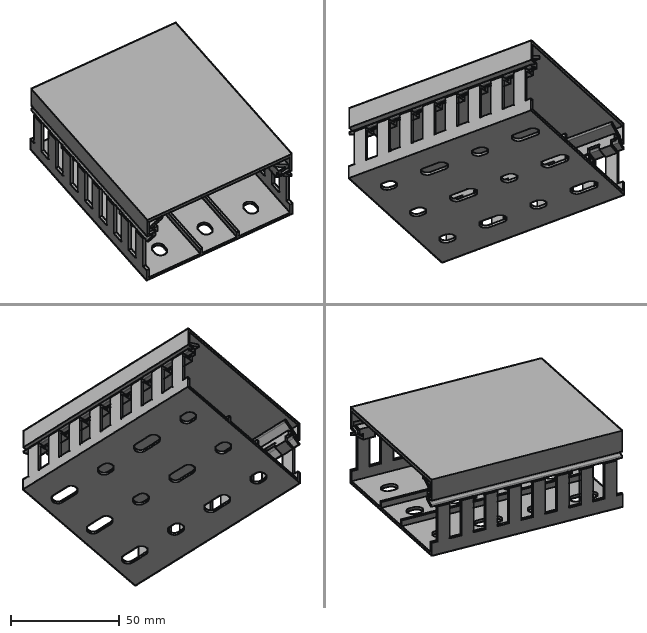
import cadquery as cq
import math

LENGTH = 100.0
WIDTH = 80.0
HEIGHT = 40.0

WALL = 1.5
RIB_WIDTH = 1.2
RIB_TOP = 4.5
RIB_SPACING = 20.0

SLOT_PITCH = 12.5
SLOT_WIDTH = 6.2
SLOT_BOTTOM = 6.8
SLOT_TOP = 28.2

LONG_HOLE_LENGTH = 14.0
SHORT_HOLE_LENGTH = 8.0
HOLE_WIDTH = 6.0
HOLE_PITCH = 25.0
HOLE_COLUMNS = 4
HOLE_ROWS = 3

SHOULDER_TOP = 25.2
LEDGE_RISE = 1.1
NECK_INNER = 33.1
HOOK_BOTTOM = 30.4
HOOK_DROP = 0.6
HOOK_SHELF = 31.1
HOOK_SETBACK = 1.2
ARM_ANGLE = 31.0
ARM_RADIUS = 0.8
ARM_TIP_Y = 31.3
ARM_TIP_Z = 35.8
CROTCH_Z = 31.6

COVER_WIDTH = 79.2
COVER_TOP_THICKNESS = 1.9
SKIRT_BOTTOM = 28.9
SKIRT_INNER_BOTTOM = 30.1
LIP_OUTER_Y = 36.5
LIP_INNER_Y = 35.0
LIP_OUTER_TOP = 28.6
LIP_ARC_Y = 37.3
LIP_ARC_Z = 27.6
LIP_INNER_TOP = 29.4
LIP_UNDERSIDE_ANGLE = 28.0
LIP_INNER_FILLET = 0.9
BEAD_RADIUS = 0.6

HALF_WIDTH = WIDTH / 2
WALL_INNER = HALF_WIDTH - WALL
NECK_OUTER = NECK_INNER + WALL
COVER_HALF = COVER_WIDTH / 2

SHOULDER_SLOPE = LEDGE_RISE / (HALF_WIDTH - NECK_OUTER)
BEAD_Y = COVER_HALF - BEAD_RADIUS
BEAD_Z = (
    SHOULDER_TOP
    + (HALF_WIDTH - BEAD_Y) * SHOULDER_SLOPE
    + BEAD_RADIUS * math.hypot(1, SHOULDER_SLOPE)
)

UNDERSIDE_ANGLE = math.radians(LIP_UNDERSIDE_ANGLE)
UNDERSIDE_START_Y = BEAD_Y - BEAD_RADIUS * math.sin(UNDERSIDE_ANGLE)
UNDERSIDE_START_Z = BEAD_Z - BEAD_RADIUS * math.cos(UNDERSIDE_ANGLE)
LIP_INNER_BOTTOM = UNDERSIDE_START_Z + (UNDERSIDE_START_Y - LIP_INNER_Y) * math.tan(UNDERSIDE_ANGLE)


def extrude_along_length(outline):
    """Extrude a closed YZ outline over the full length, centred on X."""
    return outline.close().extrude(LENGTH / 2, both=True)


def wall_profile():
    """One side wall with its inward neck and sloping spring arm, on the +Y side."""
    angle = math.radians(ARM_ANGLE)
    normal_y = ARM_RADIUS * math.sin(angle)
    normal_z = ARM_RADIUS * math.cos(angle)
    slope = math.tan(angle)
    upper_tip = (ARM_TIP_Y + normal_y, ARM_TIP_Z + normal_z)
    end_tip = (ARM_TIP_Y - ARM_RADIUS * math.cos(angle), ARM_TIP_Z + ARM_RADIUS * math.sin(angle))
    lower_tip = (ARM_TIP_Y - normal_y, ARM_TIP_Z - normal_z)
    arm_root_z = upper_tip[1] - (WALL_INNER - upper_tip[0]) * slope
    crotch_y = lower_tip[0] + (lower_tip[1] - CROTCH_Z) / slope
    return (
        cq.Workplane("YZ")
        .moveTo(HALF_WIDTH, 0)
        .lineTo(HALF_WIDTH, SHOULDER_TOP)
        .lineTo(NECK_OUTER, SHOULDER_TOP + LEDGE_RISE)
        .lineTo(NECK_OUTER, HOOK_BOTTOM - HOOK_DROP)
        .lineTo(WALL_INNER, HOOK_BOTTOM)
        .lineTo(WALL_INNER, arm_root_z)
        .lineTo(*upper_tip)
        .threePointArc(end_tip, lower_tip)
        .lineTo(crotch_y, CROTCH_Z)
        .lineTo(NECK_INNER, HOOK_SHELF)
        .lineTo(NECK_INNER, SHOULDER_TOP)
        .lineTo(WALL_INNER, SHOULDER_TOP - LEDGE_RISE)
        .lineTo(WALL_INNER, 0)
    )


def make_wall_slots():
    """Cutters for the wall slots; the ends of the duct halve the first and last."""
    slot_count = round(LENGTH / SLOT_PITCH) + 1
    return (
        cq.Workplane("XY", origin=(0, 0, SLOT_BOTTOM))
        .rarray(SLOT_PITCH, 1, slot_count, 1)
        .rect(SLOT_WIDTH, WIDTH)
        .extrude(SLOT_TOP - SLOT_BOTTOM)
    )


def make_end_setbacks():
    """Cutters that shorten the hooks above the slots at both ends of the duct."""
    return (
        cq.Workplane("XY", origin=(0, 0, SLOT_TOP))
        .pushPoints([(-LENGTH / 2, 0), (LENGTH / 2, 0)])
        .rect(2 * HOOK_SETBACK, WIDTH)
        .extrude(HEIGHT - SLOT_TOP)
    )


def hole_points(first_column):
    """Hole centres in every second column, counted from the -X end."""
    points = []
    for column in range(first_column, HOLE_COLUMNS, 2):
        for row in range(HOLE_ROWS):
            x = (column - (HOLE_COLUMNS - 1) / 2) * HOLE_PITCH
            y = (row - (HOLE_ROWS - 1) / 2) * HOLE_PITCH
            points.append((x, y))
    return points


def make_floor_holes(length, first_column):
    """Cutters for the round-ended mounting holes of one length."""
    return (
        cq.Workplane("XY")
        .pushPoints(hole_points(first_column))
        .slot2D(length, HOLE_WIDTH)
        .extrude(WALL)
    )


def make_base():
    """Slotted duct base."""
    base = cq.Workplane("XY").box(LENGTH, WIDTH, WALL, centered=(True, True, False))
    wall = extrude_along_length(wall_profile())
    base = base.union(wall).union(wall.mirror("XZ"))

    rib = cq.Workplane("XY").box(LENGTH, RIB_WIDTH, RIB_TOP, centered=(True, True, False))
    for side in (-1, 1):
        base = base.union(rib.translate((0, side * RIB_SPACING / 2, 0)))

    base = base.cut(make_wall_slots()).cut(make_end_setbacks())
    return base.cut(make_floor_holes(LONG_HOLE_LENGTH, 0)).cut(make_floor_holes(SHORT_HOLE_LENGTH, 1))


def skirt_profile():
    """One cover skirt with its V-shaped snap lip, on the +Y side."""
    return (
        cq.Workplane("YZ")
        .moveTo(COVER_HALF, HEIGHT)
        .lineTo(COVER_HALF, SKIRT_BOTTOM)
        .lineTo(LIP_OUTER_Y, LIP_OUTER_TOP)
        .threePointArc((LIP_ARC_Y, LIP_ARC_Z), (BEAD_Y, BEAD_Z + BEAD_RADIUS))
        .threePointArc((COVER_HALF, BEAD_Z), (UNDERSIDE_START_Y, UNDERSIDE_START_Z))
        .lineTo(LIP_INNER_Y, LIP_INNER_BOTTOM)
        .lineTo(LIP_INNER_Y, LIP_INNER_TOP)
        .lineTo(WALL_INNER, SKIRT_INNER_BOTTOM)
        .lineTo(WALL_INNER, HEIGHT)
    )


def fillet_lengthwise_edge(body, y, z, radius):
    """Round the straight edge that runs along X through (y, z)."""
    return body.edges(cq.selectors.NearestToPointSelector((0, y, z))).fillet(radius)


def make_skirt():
    """One cover skirt with the inner bends of its lip rounded."""
    skirt = extrude_along_length(skirt_profile())
    for z in (LIP_INNER_TOP, LIP_INNER_BOTTOM):
        skirt = fillet_lengthwise_edge(skirt, LIP_INNER_Y, z, LIP_INNER_FILLET)
    return skirt


def make_cover():
    """Snap-on cover."""
    plate = (
        cq.Workplane("XY", origin=(0, 0, HEIGHT - COVER_TOP_THICKNESS))
        .box(LENGTH, COVER_WIDTH, COVER_TOP_THICKNESS, centered=(True, True, False))
    )
    skirt = make_skirt()
    return plate.union(skirt).union(skirt.mirror("XZ"))


base = make_base()
cover = make_cover()
result = cq.Compound.makeCompound([base.val(), cover.val()])